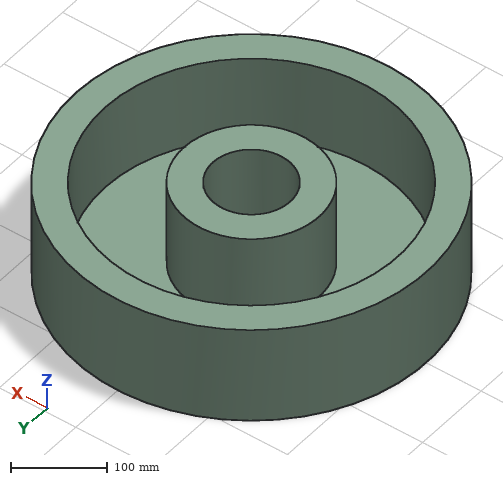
import cadquery as cq

outer_diameter = 457.0
height = 127.0
rim_thickness = 38.0

bore_diameter = 100.5
hub_wall = 38.0

web_thickness = 15.0

rim_inner_diameter = outer_diameter - 2 * rim_thickness
hub_diameter = bore_diameter + 2 * hub_wall

body = cq.Workplane("XY").circle(outer_diameter / 2).extrude(height)

pocket = (
    cq.Workplane("XY")
    .workplane(offset=web_thickness)
    .circle(rim_inner_diameter / 2)
    .circle(hub_diameter / 2)
    .extrude(height - web_thickness)
)

bore = cq.Workplane("XY").circle(bore_diameter / 2).extrude(height)

result = body.cut(pocket).cut(bore)